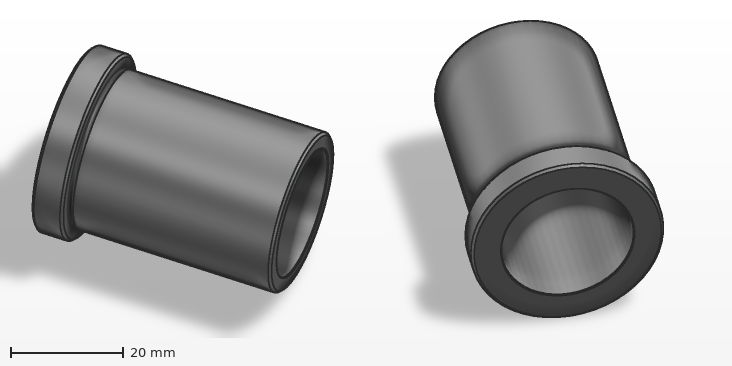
import cadquery as cq

length = 45.0
head_diameter = 35.0
body_diameter = 30.0
bore_diameter = 24.0
head_length = 6.0

outer_chamfer = 0.5
bore_chamfer = 0.2
relief_radius = 0.5

head_radius = head_diameter / 2
body_radius = body_diameter / 2
bore_radius = bore_diameter / 2
start_x = -length / 2
end_x = length / 2
shoulder_x = start_x + head_length
relief_end_x = shoulder_x + 2 * relief_radius


def bushing():
    """Revolve the half section, given as (axial, radial) points, about the X axis."""
    section = (
        cq.Workplane("XY")
        .moveTo(start_x, bore_radius + bore_chamfer)
        .lineTo(start_x, head_radius - outer_chamfer)
        .lineTo(start_x + outer_chamfer, head_radius)
        .lineTo(shoulder_x - outer_chamfer, head_radius)
        .lineTo(shoulder_x, head_radius - outer_chamfer)
        .lineTo(shoulder_x, body_radius)
        .threePointArc(
            (shoulder_x + relief_radius, body_radius - relief_radius),
            (relief_end_x, body_radius),
        )
        .lineTo(end_x - outer_chamfer, body_radius)
        .lineTo(end_x, body_radius - outer_chamfer)
        .lineTo(end_x, bore_radius + bore_chamfer)
        .lineTo(end_x - bore_chamfer, bore_radius)
        .lineTo(start_x + bore_chamfer, bore_radius)
        .close()
    )
    return section.revolve(360, (0, 0, 0), (1, 0, 0))


result = bushing()